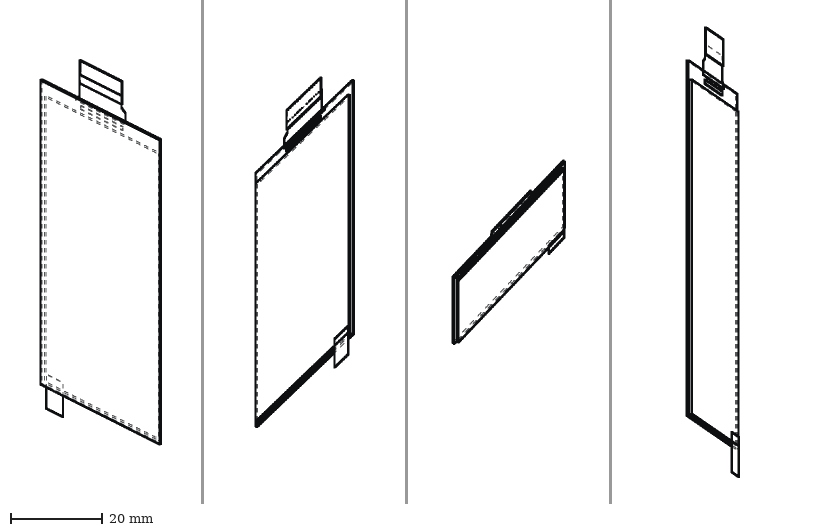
import cadquery as cq


overall_height = 96.26
overall_thickness = 1.1
flex_reach = 9.86

glass_width = 35.57
glass_height = 79.9
glass_thickness = 0.48
plate_thickness = 0.52
plate_side_inset = 0.8
plate_bottom_inset = 0.5
ledge_height = 4.2
plate_width = glass_width - 2 * plate_side_inset

chip_width = 12.5
chip_height = 0.95
chip_thickness = 0.2
chip_below_glass_top = 1.85

tab_width = 5.0
tab_drop = overall_height - glass_height - flex_reach
tab_thickness = overall_thickness - glass_thickness - plate_thickness
tab_overlap = 2.0

flex_overlap = 1.0
flex_thickness = 0.09
flex_width = 12.55
flex_left = -6.6
flex_right = flex_left + flex_width
shoulder_width = 1.2
shoulder_drop = 0.9
right_shoulder_top = 3.0
left_shoulder_top = 0.4

contact_height = 3.66
contact_recess = 0.08
stiffener_height = 5.98
stiffener_thickness = 0.23


def block(left, right, front, back, bottom, top):
    """Box between the given X, Y and Z limits."""
    size = (right - left, back - front, top - bottom)
    return cq.Workplane("XY").box(*size, centered=False).translate((left, front, bottom))


def make_panel():
    plate_left = -plate_width / 2
    plate_top = glass_height - ledge_height
    chip_top = glass_height - chip_below_glass_top
    tab_back = plate_thickness + tab_thickness
    tab_top = plate_bottom_inset + tab_overlap

    glass = block(-glass_width / 2, glass_width / 2, -glass_thickness, 0, 0, glass_height)
    plate = block(plate_left, plate_width / 2, 0, plate_thickness, plate_bottom_inset, plate_top)
    tab = block(plate_left, plate_left + tab_width, plate_thickness, tab_back, -tab_drop, tab_top)
    chip = block(-chip_width / 2, chip_width / 2, 0, chip_thickness, chip_top - chip_height, chip_top)
    return glass.union(plate).union(tab).union(chip)


def make_flex():
    top = glass_height + flex_reach
    bottom = glass_height - flex_overlap
    right_shoulder = glass_height + right_shoulder_top
    left_shoulder = glass_height + left_shoulder_top
    outline = [
        (flex_left, top),
        (flex_right, top),
        (flex_right, right_shoulder),
        (flex_right + shoulder_width, right_shoulder - shoulder_drop),
        (flex_right + shoulder_width, bottom),
        (flex_left - shoulder_width, bottom),
        (flex_left - shoulder_width, left_shoulder - shoulder_drop),
        (flex_left, left_shoulder),
    ]
    sheet = cq.Workplane("XZ").polyline(outline).close().extrude(-flex_thickness)
    contacts = block(flex_left, flex_right, 0, contact_recess, top - contact_height, top)
    stiffener = block(
        flex_left,
        flex_right,
        flex_thickness,
        flex_thickness + stiffener_thickness,
        top - stiffener_height,
        top,
    )
    return sheet.cut(contacts).union(stiffener)


panel = make_panel()
flex = make_flex()
result = cq.Compound.makeCompound([panel.val(), flex.val()])